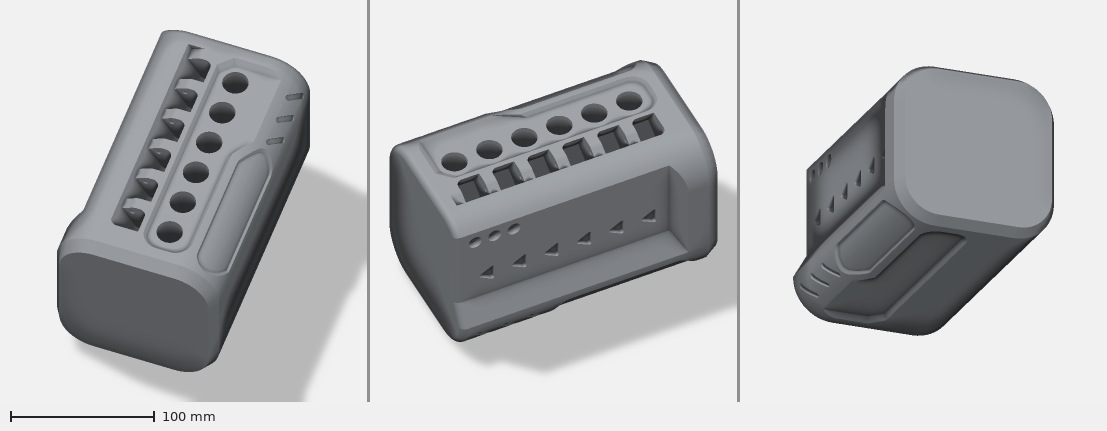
import cadquery as cq
import math


LENGTH = 200.0
SIDE = 120.0
HALF = SIDE / 2
CORNER_R = 30.0
AXIS = HALF - CORNER_R
NOSE_LENGTH = 8.5
NOSE_ANGLE = 30.0
BACK_FILLET = 5.0
CLEARANCE = 2.0

STEP_DEPTH = 10.0
STEP_FRONT = 25.0
STEP_BOTTOM = -AXIS
STEP_RAMP_ANGLE = 60.0
FLAT_X = STEP_DEPTH - HALF

STATION_COUNT = 6
STATION_PITCH = 27.0
FIRST_STATION = 35.0
STATION_YS = [FIRST_STATION + i * STATION_PITCH for i in range(STATION_COUNT)]
LAST_STATION = STATION_YS[-1]
BORE_D = 18.5
BORE_X = 14.0

PANEL_DEPTH = 3.0
PANEL_LEFT = 0.5
PANEL_RIGHT = 30.2
PANEL_FRONT = 19.8
PANEL_BACK = 182.8
PANEL_R = 10.0
PANEL_CORNER = 8.8
PANEL_WALL_RUN = PANEL_DEPTH
PANEL_STEEP_RUN = PANEL_DEPTH * math.tan(math.radians(60))
PANEL_STEP_Y = 105.5
PANEL_STEP_ANGLE = 60.0

TILT = math.radians(30)
POCKET_X = -27.5
POCKET_SIZE = BORE_D
POCKET_DEPTH = 28.5
POCKET_R = 4.8
SLOT_BACK = 188.0
SLOT_DEPTH = 5.8
SLOT_LIP_R = 9.0
PIN_D = 3.5
PIN_X = -17.0
PIN_Z = 54.2

LAMP_COUNT = 3
LAMP_PITCH = 15.0
LAMP_FIRST_Y = 154.8
LAMP_Z = 42.8
LAMP_D = 10.0
LAMP_FLOOR_D = 7.2
LAMP_DEPTH = 3.5
ARROW_COUNT = 6
ARROW_PITCH = 25.0
ARROW_FIRST_Y = 45.0
ARROW_Z = 7.0
ARROW_LENGTH = 13.0
ARROW_R = 1.5
ARROW_DEPTH = 3.5

GRIP_DEPTH = 1.8
GRIP_FLOOR_R = CORNER_R - GRIP_DEPTH
GRIP_BASE = 24.0
GRIP_HEIGHT = CORNER_R + CLEARANCE - GRIP_BASE
GRIP_WALL_ANGLE = 60.0
GRIP_BACK = 117.5
GRIP_FRONT = 22.8
GRIP_LOW = -14.5
GRIP_HIGH = 10.0
GRIP_OUTLINE = [
    (GRIP_BACK, GRIP_LOW),
    (31.8, GRIP_LOW),
    (GRIP_FRONT, 6.5),
    (GRIP_FRONT, GRIP_HIGH),
    (105.2, GRIP_HIGH),
    (GRIP_BACK, -2.5),
]
GRIP_R = 1.5
NOTCH_COUNT = 3
NOTCH_PITCH = 20.0
NOTCH_FIRST_Y = 140.0
NOTCH_RUN = 12.0
NOTCH_WIDTH = 4.0

TRAY_FRONT = 30.0
TRAY_MARGIN = 1.0
TRAY_DEPTH = 2.0


def make_block():
    """Rounded square bar with the bevelled front end."""
    bar = (
        cq.Workplane("XZ", origin=(0, NOSE_LENGTH, 0))
        .rect(SIDE, SIDE)
        .extrude(NOSE_LENGTH - LENGTH)
        .edges("|Y")
        .fillet(CORNER_R)
    )
    return bar.faces("<Y").wires().toPending().workplane().extrude(NOSE_LENGTH, taper=NOSE_ANGLE)


def make_step():
    """Tool that sets the -X side in, with a ramp below and a ramp in front."""
    outer = -HALF - CLEARANCE
    back = LENGTH + CLEARANCE
    slope = math.tan(math.radians(STEP_RAMP_ANGLE))
    section = [
        (FLAT_X, HALF),
        (FLAT_X, STEP_BOTTOM + STEP_DEPTH * slope),
        (outer, STEP_BOTTOM - CLEARANCE * slope),
        (outer, HALF),
    ]
    plan = [
        (FLAT_X, STEP_FRONT + STEP_DEPTH),
        (outer, STEP_FRONT - CLEARANCE),
        (outer, back),
        (FLAT_X, back),
    ]
    side = cq.Workplane("XZ").polyline(section).close().extrude(-back)
    ramp = cq.Workplane("XY", origin=(0, 0, -HALF)).polyline(plan).close().extrude(SIDE)
    return side.intersect(ramp)


def panel_outline(plane, run, steep_run):
    """Panel outline, spread by run at the sides and front and by steep_run at the back and corner."""
    left = PANEL_LEFT - run
    right = PANEL_RIGHT + run
    front = PANEL_FRONT - run
    back = PANEL_BACK + steep_run
    radius = PANEL_R + run
    arc_y = front + radius
    arc_mid = radius * math.sqrt(0.5)
    slope = math.tan(math.radians(PANEL_STEP_ANGLE))
    step_y = PANEL_STEP_Y + run * slope
    corner_rise = PANEL_BACK - PANEL_CORNER - PANEL_LEFT + steep_run * math.sqrt(2)
    return (
        plane.moveTo(left, arc_y)
        .threePointArc((left + radius - arc_mid, arc_y - arc_mid), (left + radius, front))
        .lineTo(right - radius, front)
        .threePointArc((right - radius + arc_mid, arc_y - arc_mid), (right, arc_y))
        .lineTo(right, step_y)
        .lineTo(HALF, step_y + (HALF - right) * slope)
        .lineTo(HALF, back)
        .lineTo(back - corner_rise, back)
        .lineTo(left, left + corner_rise)
        .close()
    )


def make_panel():
    plane = cq.Workplane("XY", origin=(0, 0, HALF - PANEL_DEPTH))
    floor = panel_outline(plane, 0, 0)
    rim = panel_outline(floor.workplane(offset=PANEL_DEPTH), PANEL_WALL_RUN, PANEL_STEEP_RUN)
    return rim.loft(ruled=True)


def grip_workplane():
    """Plane facing the +X +Z edge at 45 degrees; its local x is Y and its local y points up the edge."""
    middle = AXIS + GRIP_BASE * math.sqrt(0.5)
    return cq.Workplane(cq.Plane(origin=(middle, 0, middle), xDir=(0, 1, 0), normal=(1, 0, 1)))


def make_grips():
    """Tool for the long grip and the notches, all with a floor parallel to the rounded edge."""
    outline = cq.Sketch().polygon(GRIP_OUTLINE + GRIP_OUTLINE[:1]).vertices().fillet(GRIP_R)
    tool = grip_workplane().placeSketch(outline).extrude(GRIP_HEIGHT, taper=-GRIP_WALL_ANGLE)
    notch_length = NOTCH_RUN * math.sqrt(2) + NOTCH_WIDTH
    for i in range(NOTCH_COUNT):
        notch = (
            grip_workplane()
            .center(NOTCH_FIRST_Y + i * NOTCH_PITCH, -NOTCH_RUN / 2)
            .slot2D(notch_length, NOTCH_WIDTH, -45)
            .extrude(GRIP_HEIGHT)
        )
        tool = tool.union(notch)
    core = cq.Workplane("XZ", origin=(AXIS, 0, AXIS)).circle(GRIP_FLOOR_R).extrude(-LENGTH)
    return tool.cut(core)


def half_turn(tool):
    return tool.rotate((0, 0, 0), (0, 1, 0), 180)


def make_pocket(y, has_round_front):
    """Square pocket tool, drawn on a plane whose local x runs down the slanted wall."""
    plane = cq.Plane(
        origin=(POCKET_X, y + POCKET_SIZE / 2, HALF),
        xDir=(math.sin(TILT), 0, -math.cos(TILT)),
        normal=(0, -1, 0),
    )
    outline = [
        (-POCKET_SIZE, 0),
        (POCKET_DEPTH, 0),
        (POCKET_DEPTH, POCKET_SIZE),
        (-POCKET_SIZE, POCKET_SIZE),
    ]
    tool = cq.Workplane(plane).polyline(outline).close().extrude(POCKET_SIZE)
    toward_left = cq.Vector(-math.cos(TILT), 0, -math.sin(TILT))
    left_wall = tool.faces(cq.selectors.DirectionMinMaxSelector(toward_left))
    right_wall = tool.faces(cq.selectors.DirectionMinMaxSelector(toward_left, False))
    rounded = left_wall.edges("|Y").edges("<Z").add(right_wall.edges(">Y"))
    if has_round_front:
        rounded = rounded.add(left_wall.edges("<Y"))
    return rounded.fillet(POCKET_R)


def make_slot():
    """Shallow slot tool: slanted wall, floor square to it, and a lip arc tangent to floor and top face."""
    front = FIRST_STATION + POCKET_SIZE / 2
    lip_x = POCKET_X + SLOT_DEPTH / math.sin(TILT) + SLOT_LIP_R * math.tan(TILT / 2)

    def lip_point(angle):
        return (lip_x - SLOT_LIP_R * math.sin(angle), HALF - SLOT_LIP_R * (1 - math.cos(angle)))

    return (
        cq.Workplane("XZ", origin=(0, front, 0))
        .moveTo(POCKET_X, HALF)
        .lineTo(POCKET_X + SLOT_DEPTH * math.sin(TILT), HALF - SLOT_DEPTH * math.cos(TILT))
        .lineTo(*lip_point(TILT))
        .threePointArc(lip_point(TILT / 2), (lip_x, HALF))
        .close()
        .extrude(front - SLOT_BACK)
    )


def make_pin_hole():
    """Hole along Y through the ribs between the pockets."""
    return (
        cq.Workplane("XZ", origin=(PIN_X, FIRST_STATION, PIN_Z))
        .circle(PIN_D / 2)
        .extrude(FIRST_STATION - LAST_STATION)
    )


def make_bores():
    centres = [(BORE_X, y) for y in STATION_YS]
    return cq.Workplane("XY").pushPoints(centres).circle(BORE_D / 2).extrude(HALF)


def make_lamp(y):
    return (
        cq.Workplane("YZ", origin=(FLAT_X, y, LAMP_Z))
        .circle(LAMP_D / 2)
        .workplane(offset=LAMP_DEPTH)
        .circle(LAMP_FLOOR_D / 2)
        .loft()
    )


def make_arrow(base_y):
    """Equilateral triangle with its tip toward +Y."""
    half_base = ARROW_LENGTH / math.sqrt(3)
    return (
        cq.Workplane("YZ", origin=(FLAT_X, base_y, ARROW_Z))
        .polyline([(0, -half_base), (ARROW_LENGTH, 0), (0, half_base)])
        .close()
        .extrude(ARROW_DEPTH)
        .edges("|X")
        .fillet(ARROW_R)
    )


def make_tray():
    back = LAST_STATION + BORE_D / 2 + TRAY_MARGIN
    return (
        cq.Workplane("XY", origin=(BORE_X, (TRAY_FRONT + back) / 2, 0))
        .rect(BORE_D + 2 * TRAY_MARGIN, back - TRAY_FRONT)
        .extrude(-TRAY_DEPTH)
    )


def make_shell():
    """Whole outer shape, with every feature the two bodies share."""
    shell = make_block().cut(make_step())
    shell = shell.faces(">Y").edges().fillet(BACK_FILLET)
    for tool in (make_panel(), make_grips()):
        shell = shell.cut(tool).cut(half_turn(tool))
    return shell


def half_space(height):
    """Box from the split plane up, or down for a negative height."""
    return cq.Workplane("XY", origin=(0, LENGTH / 2, 0)).rect(SIDE, LENGTH).extrude(height)


def make_lid(shell):
    lid = shell.intersect(half_space(HALF))
    for y in STATION_YS:
        lid = lid.cut(make_pocket(y, has_round_front=(y == FIRST_STATION)))
    lid = lid.cut(make_slot()).cut(make_pin_hole()).cut(make_bores())
    for i in range(LAMP_COUNT):
        lid = lid.cut(make_lamp(LAMP_FIRST_Y + i * LAMP_PITCH))
    for i in range(ARROW_COUNT):
        lid = lid.cut(make_arrow(ARROW_FIRST_Y + i * ARROW_PITCH))
    return lid


def make_base(shell):
    return shell.intersect(half_space(-HALF)).cut(make_tray())


shell = make_shell()
lid = make_lid(shell)
base = make_base(shell)

result = cq.Compound.makeCompound([lid.val(), base.val()])